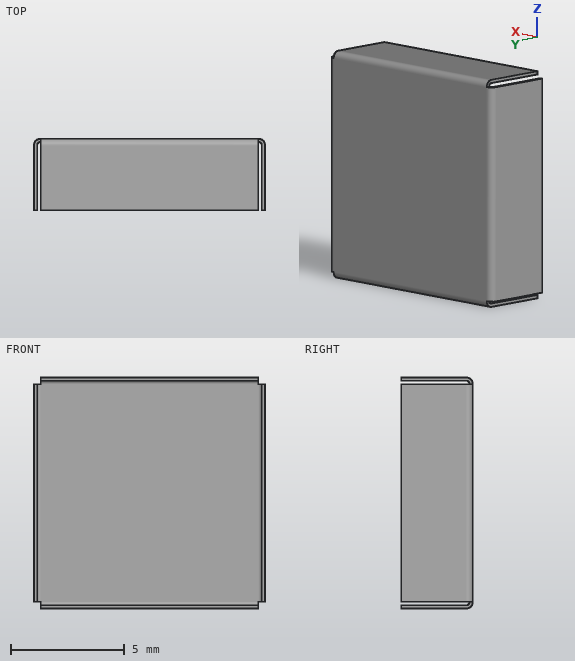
import cadquery as cq
import math

outer_size = 10.15
depth = 3.15
sheet = 0.15
inner_radius = 0.14

bend_radius = sheet + inner_radius
panel_size = outer_size - 2 * bend_radius
half_panel = panel_size / 2
back_y = depth / 2
front_y = back_y - depth
bend_start_y = back_y - bend_radius


def back_panel():
    """Flat square sheet between the four bends."""
    center_y = back_y - sheet / 2
    return cq.Workplane("XY").box(panel_size, sheet, panel_size).translate((0, center_y, 0))


def right_wall():
    """Bend and flat wall on the +X side, with its ends level with the panel's."""
    outer_x = outer_size / 2
    inner_x = outer_x - sheet
    bend_cos = math.cos(math.radians(45))
    outer_mid = (half_panel + bend_radius * bend_cos, bend_start_y + bend_radius * bend_cos)
    inner_mid = (half_panel + inner_radius * bend_cos, bend_start_y + inner_radius * bend_cos)
    return (
        cq.Workplane("XY")
        .moveTo(half_panel, back_y)
        .threePointArc(outer_mid, (outer_x, bend_start_y))
        .lineTo(outer_x, front_y)
        .lineTo(inner_x, front_y)
        .lineTo(inner_x, bend_start_y)
        .threePointArc(inner_mid, (half_panel, back_y - sheet))
        .close()
        .extrude(half_panel, both=True)
    )


result = back_panel()
wall = right_wall()
for angle in (0, 90, 180, 270):
    result = result.union(wall.rotate((0, 0, 0), (0, 1, 0), angle))